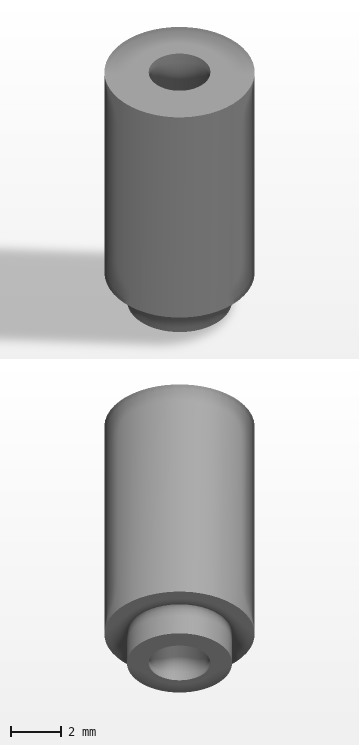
import cadquery as cq

total_height = 11.4
spigot_height = 1.4
body_diameter = 6.0
spigot_diameter = 4.2
bore_diameter = 2.46

body_height = total_height - spigot_height


def cylinder(diameter, height, base_z=0.0):
    """Upright cylinder on the Z axis, standing at base_z."""
    return cq.Workplane("XY", origin=(0, 0, base_z)).circle(diameter / 2).extrude(height)


spigot = cylinder(spigot_diameter, spigot_height)
body = cylinder(body_diameter, body_height, spigot_height)

bore = cylinder(bore_diameter, total_height)

result = spigot.union(body).cut(bore)